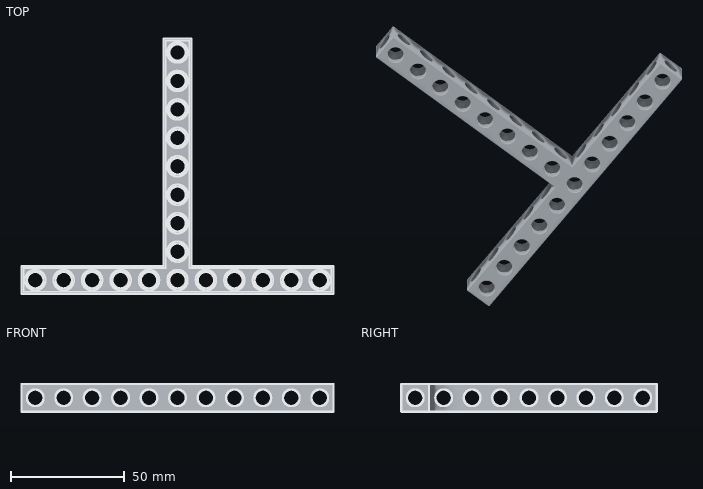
import cadquery as cq

LENGTH = 137.5
BAR_CELLS = 11
STEM_CELLS = 8
HOLE_DIAMETER = 7.0
EDGE_CHAMFER = 0.3
RIM_WIDTH = 1.1
POCKET_DEPTH = 0.1

PITCH = LENGTH / BAR_CELLS
HALF_BEAM = PITCH / 2
STEM_END = (STEM_CELLS + 0.5) * PITCH
HOLE_RADIUS = HOLE_DIAMETER / 2

bar_positions = [(i - (BAR_CELLS - 1) / 2) * PITCH for i in range(BAR_CELLS)]
stem_positions = [(i + 1) * PITCH for i in range(STEM_CELLS)]
top_hole_points = [(x, 0) for x in bar_positions] + [(0, y) for y in stem_positions]


def tee(inset, height):
    """T-shaped plate standing on the XY plane, with its outline moved inward by inset."""
    half_length = LENGTH / 2 - inset
    half_width = HALF_BEAM - inset
    outline = [
        (-half_length, -half_width),
        (half_length, -half_width),
        (half_length, half_width),
        (half_width, half_width),
        (half_width, STEM_END - inset),
        (-half_width, STEM_END - inset),
        (-half_width, half_width),
        (-half_length, half_width),
    ]
    return cq.Workplane("XY").polyline(outline).close().extrude(height)


def hole_cutter(length):
    """Through-hole cutter along +Z from the origin, widened by a chamfer at both mouths."""
    mouth_radius = HOLE_RADIUS + EDGE_CHAMFER
    half_profile = [
        (0, 0),
        (mouth_radius, 0),
        (HOLE_RADIUS, EDGE_CHAMFER),
        (HOLE_RADIUS, length - EDGE_CHAMFER),
        (mouth_radius, length),
        (0, length),
    ]
    return cq.Workplane("XZ").polyline(half_profile).close().revolve(360, (0, 0), (0, 1))


def x_hole(start_x, y, length):
    """Hole cutter along +X at mid height."""
    return hole_cutter(length).rotate((0, 0, 0), (0, 1, 0), 90).translate((start_x, y, HALF_BEAM))


def y_hole(x, length):
    """Hole cutter along +Y at mid height, starting at the outer long face of the crossbar."""
    return hole_cutter(length).rotate((0, 0, 0), (1, 0, 0), -90).translate((x, -HALF_BEAM, HALF_BEAM))


inner_corner_edges = cq.selectors.BoxSelector((-PITCH, 0, 0), (PITCH, PITCH, PITCH))
upright_edges = cq.StringSyntaxSelector("|Z")
flat_edges = cq.StringSyntaxSelector("#Z")
chamfered_edges = flat_edges + (upright_edges - inner_corner_edges)
body = tee(0, PITCH).edges(chamfered_edges).chamfer(EDGE_CHAMFER)

pocket_floor = PITCH - POCKET_DEPTH
hole_rims = (
    cq.Workplane("XY")
    .pushPoints(top_hole_points)
    .circle(HOLE_RADIUS + RIM_WIDTH)
    .extrude(POCKET_DEPTH)
)
pocket = tee(RIM_WIDTH, POCKET_DEPTH).cut(hole_rims)
body = body.cut(pocket.translate((0, 0, pocket_floor)))

for x, y in top_hole_points:
    body = body.cut(hole_cutter(PITCH).translate((x, y, 0)))

for x in bar_positions:
    length = PITCH
    if x == 0:
        length += STEM_CELLS * PITCH
    body = body.cut(y_hole(x, length))

body = body.cut(x_hole(-LENGTH / 2, 0, LENGTH))
for y in stem_positions:
    body = body.cut(x_hole(-HALF_BEAM, y, PITCH))

result = body